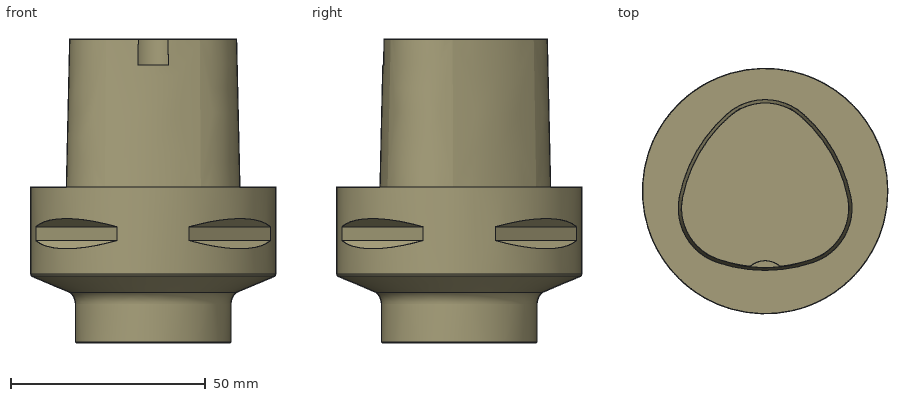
import cadquery as cq
import math

total_height = 78.0
flange_top = 40.0
flange_rim_bottom = 17.15
cone_bottom = 12.95
spigot_top = 10.0

flange_radius = 63.0 / 2
spigot_radius = 40.0 / 2
cone_end_radius = 21.3
rim_chamfer_height = 0.6
rim_chamfer_width = 0.2
spigot_chamfer = 0.3

lobe_radius = 14.75
lobe_center_distance = 8.7
side_distance = 20.35
shank_inset = 0.85
lobe_count = 3

groove_count = 4
groove_height = 28.1
groove_floor_width = 3.5
groove_floor_distance = 27.85
groove_flank_angle = math.radians(30)

notch_radius = 5.7
notch_reach = 17.9
notch_depth = 6.6


def polar(radius, degrees):
    angle = math.radians(degrees)
    return (radius * math.cos(angle), radius * math.sin(angle))


def turned_body():
    return (
        cq.Workplane("XZ")
        .lineTo(spigot_radius - spigot_chamfer, 0)
        .lineTo(spigot_radius, spigot_chamfer)
        .lineTo(spigot_radius, spigot_top)
        .tangentArcPoint((cone_end_radius, cone_bottom), relative=False)
        .lineTo(flange_radius - rim_chamfer_width, flange_rim_bottom)
        .lineTo(flange_radius, flange_rim_bottom + rim_chamfer_height)
        .lineTo(flange_radius, flange_top)
        .lineTo(0, flange_top)
        .close()
        .revolve(360, (0, 0, 0), (0, 1, 0))
    )


def shank_outline(height, inset):
    """Closed outline of tangent lobe and side arcs, offset inward by inset."""
    gap = side_distance - lobe_radius
    side_center = (lobe_center_distance**2 - gap**2) / (2 * gap - lobe_center_distance)
    half_pitch = 180 / lobe_count
    lobe_x, lobe_y = polar(lobe_center_distance, half_pitch)
    tangent_angle = math.atan2(lobe_y, lobe_x + side_center)
    tangent_x = lobe_x + (lobe_radius - inset) * math.cos(tangent_angle)
    tangent_y = lobe_y + (lobe_radius - inset) * math.sin(tangent_angle)
    tangent_distance = math.hypot(tangent_x, tangent_y)
    tangent_turn = math.degrees(math.atan2(tangent_y, tangent_x))
    lobe_tip = lobe_center_distance + lobe_radius - inset

    outline = cq.Workplane("XY", origin=(0, 0, height))
    outline = outline.moveTo(*polar(tangent_distance, -90 - tangent_turn))
    for index in range(lobe_count):
        side = -90 + index * 360 / lobe_count
        outline = outline.threePointArc(
            polar(side_distance - inset, side),
            polar(tangent_distance, side + tangent_turn),
        ).threePointArc(
            polar(lobe_tip, side + half_pitch),
            polar(tangent_distance, side + 2 * half_pitch - tangent_turn),
        )
    return outline.close().val()


def shank():
    base = shank_outline(flange_top, 0)
    top = shank_outline(total_height, shank_inset)
    return cq.Workplane(cq.Solid.makeLoft([base, top], True))


def gripper_groove():
    """Trapezoidal groove cutter across the +X side of the flange."""
    depth = flange_radius - groove_floor_distance
    half_floor = groove_floor_width / 2
    half_mouth = half_floor + depth * math.tan(groove_flank_angle)
    return (
        cq.Workplane("XZ")
        .moveTo(groove_floor_distance, groove_height - half_floor)
        .lineTo(flange_radius, groove_height - half_mouth)
        .lineTo(flange_radius, groove_height + half_mouth)
        .lineTo(groove_floor_distance, groove_height + half_floor)
        .close()
        .extrude(flange_radius, both=True)
    )


def orientation_notch():
    return (
        cq.Workplane("XY", origin=(0, 0, total_height - notch_depth))
        .center(0, -notch_reach - notch_radius)
        .circle(notch_radius)
        .extrude(notch_depth)
    )


result = turned_body().union(shank())
groove_pitch = 360 / groove_count
for index in range(groove_count):
    turn = (index + 0.5) * groove_pitch
    result = result.cut(gripper_groove().rotate((0, 0, 0), (0, 0, 1), turn))
result = result.cut(orientation_notch())